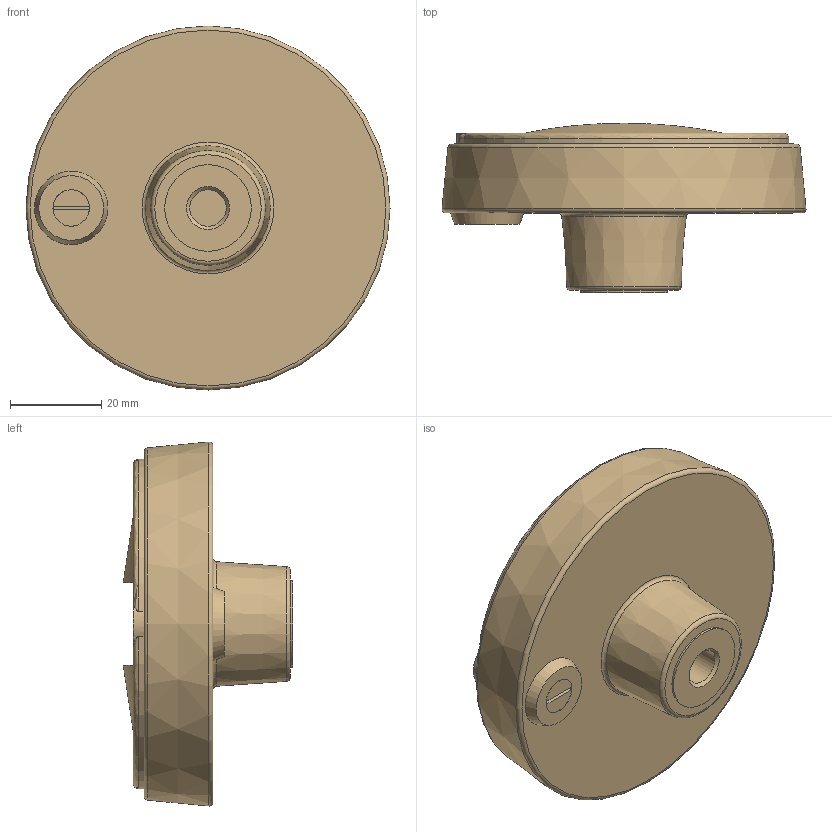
import cadquery as cq
import math


rim_radius = 40.0
rim_depth = 15.1
rim_draft = math.radians(5.5)
rim_fillet = 0.9

cover_radius = 36.15
cover_back = 17.45
cover_fillet = 1.2

dome_edge_radius = 23.7
dome_sphere_radius = 110.5
channel_width = 18.1

hub_base_radius = 13.7
hub_length = 17.0
hub_draft = math.radians(4)
hub_base_fillet = 0.8
hub_end_fillet = 0.9
pad_diameter = 19.0
pad_height = 0.5
bore_diameter = 8.0
bore_mouth_diameter = 9.36
bore_depth = 15.0

pin_offset = 30.0
pin_base_diameter = 16.1
pin_end_diameter = 14.2
pin_height = 2.5
pin_boss_diameter = 13.3

screw_diameter = 8.0
screw_recess = 0.1
screw_slot_width = 0.8
screw_slot_depth = 0.8


def disk(x, y_start, diameter, length):
    """Cylinder along +Y starting at y_start, centred on (x, z = 0)."""
    start = cq.Vector(x, y_start, 0)
    return cq.Workplane(cq.Solid.makeCylinder(diameter / 2, length, start, cq.Vector(0, 1, 0)))


def cone(x, y_start, start_diameter, end_diameter, length):
    """Cone along +Y starting at y_start, centred on (x, z = 0)."""
    start = cq.Vector(x, y_start, 0)
    solid = cq.Solid.makeCone(start_diameter / 2, end_diameter / 2, length, start, cq.Vector(0, 1, 0))
    return cq.Workplane(solid)


def make_rim():
    back_radius = rim_radius - rim_depth * math.tan(rim_draft)
    rim = cone(0, 0, 2 * rim_radius, 2 * back_radius, rim_depth)
    return rim.faces("<Y or >Y").edges().fillet(rim_fillet)


def make_cover():
    cover = disk(0, 0, 2 * cover_radius, cover_back)
    return cover.faces(">Y").edges().fillet(cover_fillet)


def make_dome():
    centre_y = cover_back - math.sqrt(dome_sphere_radius**2 - dome_edge_radius**2)
    peak_y = centre_y + dome_sphere_radius
    dome = (
        cq.Workplane("XY")
        .moveTo(0, 0)
        .lineTo(dome_edge_radius, 0)
        .lineTo(dome_edge_radius, cover_back)
        .radiusArc((0, peak_y), -dome_sphere_radius)
        .close()
        .revolve(360, (0, 0, 0), (0, 1, 0))
    )
    channel_depth = peak_y - cover_back
    channel = cq.Workplane("XY").box(2 * dome_edge_radius, channel_depth, channel_width)
    return dome.cut(channel.translate((0, cover_back + channel_depth / 2, 0)))


def make_hub():
    end_radius = hub_base_radius - hub_length * math.tan(hub_draft)
    hub = cone(0, -hub_length, 2 * end_radius, 2 * hub_base_radius, hub_length)
    return hub.faces("<Y").edges().fillet(hub_end_fillet)


def fillet_hub_base(body):
    half_box = hub_base_radius + hub_base_fillet
    selector = cq.selectors.BoxSelector(
        (-half_box, -hub_base_fillet / 2, -half_box),
        (half_box, hub_base_fillet / 2, half_box),
        boundingbox=True,
    )
    return body.edges(selector).fillet(hub_base_fillet)


def make_pad():
    return disk(0, -hub_length - pad_height, pad_diameter, pad_height)


def make_bore():
    mouth_y = -hub_length - pad_height
    chamfer_depth = (bore_mouth_diameter - bore_diameter) / 2
    bore = disk(0, mouth_y, bore_diameter, bore_depth)
    return bore.union(cone(0, mouth_y, bore_mouth_diameter, bore_diameter, chamfer_depth))


def make_pin():
    stub = cone(-pin_offset, -pin_height, pin_end_diameter, pin_base_diameter, pin_height)
    return stub.union(disk(-pin_offset, 0, pin_boss_diameter, cover_back))


def make_screw_cut():
    screw_face_y = -pin_height + screw_recess
    recess = disk(-pin_offset, -pin_height, screw_diameter, screw_recess)
    slot = cq.Workplane("XY").box(screw_diameter, 2 * screw_slot_depth, screw_slot_width)
    slot = slot.translate((-pin_offset, screw_face_y, 0))
    slot = slot.intersect(disk(-pin_offset, -pin_height, screw_diameter, pin_height))
    return recess.union(slot)


wheel = make_rim().union(make_hub())
wheel = fillet_hub_base(wheel)
wheel = wheel.union(make_cover()).union(make_dome()).union(make_pad()).union(make_pin())
result = wheel.cut(make_bore()).cut(make_screw_cut())